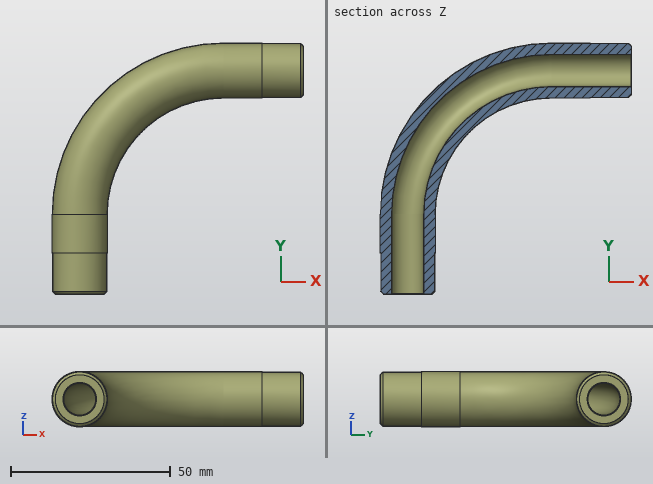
import cadquery as cq

overall = 78.7
bend_diameter = 17.2
sleeve_diameter_x = 17.2
sleeve_diameter_y = 17.4
spigot_diameter = 17.0
bore_diameter = 10.0
sleeve_length = 12.0
spigot_length = 13.0
end_chamfer = 0.9
bore_chamfer = 0.2

bend_tube_radius = bend_diameter / 2
spigot_radius = spigot_diameter / 2
bore_radius = bore_diameter / 2
leg_length = sleeve_length + spigot_length
bend_radius = overall - sleeve_diameter_y / 2 - leg_length


def make_bend():
    """Hollow quarter bend, centred on the origin, from the -X axis to the +Y axis."""
    return (
        cq.Workplane("XZ")
        .center(-bend_radius, 0)
        .circle(bend_tube_radius)
        .circle(bore_radius)
        .revolve(90, (bend_radius, 0, 0), (bend_radius, -1, 0))
    )


def make_leg(sleeve_diameter):
    """Hollow straight leg along +X: sleeve, then chamfered spigot."""
    sleeve_radius = sleeve_diameter / 2
    profile = [
        (0, bore_radius),
        (0, sleeve_radius),
        (sleeve_length, sleeve_radius),
        (sleeve_length, spigot_radius),
        (leg_length - end_chamfer, spigot_radius),
        (leg_length, spigot_radius - end_chamfer),
        (leg_length, bore_radius + bore_chamfer),
        (leg_length - bore_chamfer, bore_radius),
    ]
    return cq.Workplane("XY").polyline(profile).close().revolve(360, (0, 0, 0), (1, 0, 0))


leg_x = make_leg(sleeve_diameter_x).translate((0, bend_radius, 0))
leg_y = make_leg(sleeve_diameter_y).rotate((0, 0, 0), (0, 0, 1), -90).translate((-bend_radius, 0, 0))

result = make_bend().union(leg_x).union(leg_y)